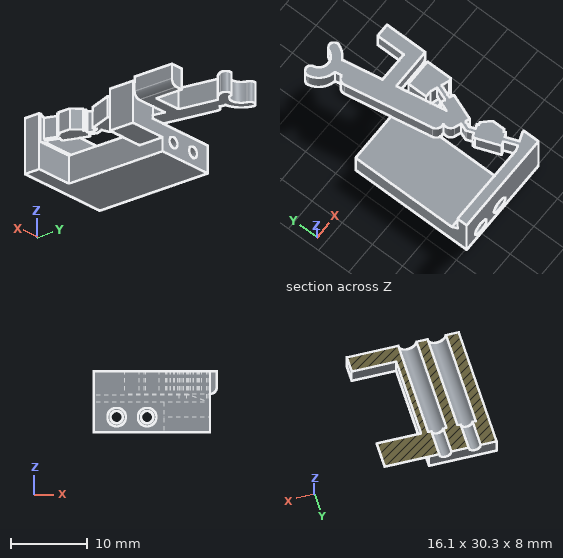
import cadquery as cq
import math

frame_width = 15.2
frame_depth = 18.42
total_height = 8.0
base_height = 4.0
layer_thickness = 3.0
layer_bottom = total_height - layer_thickness

plate_width = 9.2
rear_bar_front = 14.47
rear_bar_bottom = base_height / 2
wall_foot_depth = 2.45
wall_thickness = 1.52
wall_slope_top = 4.9
post_left = 11.15
post_front = 15.47

hole_positions_x = (3.0, 6.98)
hole_height = 2.0
bore_diameter = 2.43
hole_diameter = 1.58
bore_depth = rear_bar_front

knee_x, knee_y = 10.9, 8.43
link_tilt = 20.7
link_width = 2.0
link_start = 1.0
link_end = 5.0
flexure_width = 0.67
flexure_end = 7.0
elbow_reach = 2.3
elbow_end = 3.03
corner_radius = 1.0

bump_side_x = 13.8
bump_outline = [
    (12.3, 7.62),
    (12.62, 7.7),
    (bump_side_x, 6.5),
    (bump_side_x, 4.58),
    (13.45, 4.45),
    (12.15, 6.07),
]
trim_x = 10.45

arm_x, arm_y = 11.32, 11.62
arm_tilt = 10.0
arm_width = 3.0
arm_length = 15.0
neck_width = 2.0
fork_center_height = 18.87
fork_radius = 2.35
fork_width = 1.52
fork_left_angle = 181.5
fork_right_angle = 329.5

hook_right = 16.08
hook_top = 25.8
hook_bottom = 19.45
hook_width = 2.0
hook_root_x = 9.1
hook_edge_radius = 0.9

tilt_sin = math.sin(math.radians(link_tilt))
tilt_cos = math.cos(math.radians(link_tilt))


def block(x0, x1, y0, y1, z0, z1):
    """Axis-aligned block given by its limits."""
    return cq.Workplane("XY").box(x1 - x0, y1 - y0, z1 - z0, centered=False).translate((x0, y0, z0))


def layer_block(x0, x1, y0, y1):
    """Block filling the height of the top layer."""
    return block(x0, x1, y0, y1, layer_bottom, total_height)


def prism(points, bottom):
    """Polygon raised from the given height to the top of the part."""
    return cq.Workplane("XY").workplane(offset=bottom).polyline(points).close().extrude(total_height - bottom)


def place_link(shape):
    """Tilt a shape drawn along +Y from the origin and move it to the knee."""
    return shape.rotate((0, 0, 0), (0, 0, 1), -link_tilt).translate((knee_x, knee_y, 0))


def mirror_link(shape):
    """Mirror a shape across the XZ plane through the knee."""
    return shape.mirror("XZ", (0, knee_y, 0))


def flexure_seat_x(y):
    """X where the seat face, square to the rear flexure, reaches a given Y."""
    seat_x = knee_x + flexure_end * tilt_sin
    seat_y = knee_y + flexure_end * tilt_cos
    return seat_x - (y - seat_y) * tilt_cos / tilt_sin


def make_base():
    base = block(0, plate_width, 0, frame_depth, 0, base_height)
    base = base.union(block(0, frame_width, rear_bar_front, frame_depth, rear_bar_bottom, base_height))

    wall_profile = [
        (0, 0),
        (wall_foot_depth, 0),
        (wall_foot_depth, base_height),
        (wall_thickness, wall_slope_top),
        (wall_thickness, total_height),
        (0, total_height),
    ]
    base = base.union(cq.Workplane("YZ").polyline(wall_profile).close().extrude(frame_width))

    front_seat = [
        (flexure_seat_x(2 * knee_y - wall_thickness), 0),
        (frame_width, 0),
        (frame_width, wall_foot_depth),
        (flexure_seat_x(2 * knee_y - wall_foot_depth), wall_foot_depth),
        (flexure_seat_x(2 * knee_y - wall_thickness), wall_thickness),
    ]
    rear_seat = [
        (post_left, frame_depth),
        (frame_width, frame_depth),
        (frame_width, rear_bar_front),
        (flexure_seat_x(rear_bar_front), rear_bar_front),
        (flexure_seat_x(post_front), post_front),
        (post_left, post_front),
    ]
    base = base.union(prism(front_seat, 0)).union(prism(rear_seat, base_height))

    for x in hole_positions_x:
        mouth = cq.Workplane("XZ").center(x, hole_height)
        base = base.cut(mouth.circle(hole_diameter / 2).extrude(-frame_depth))
        base = base.cut(mouth.circle(bore_diameter / 2).extrude(-bore_depth))
    return base


def make_links():
    half_link = link_width / 2
    half_flexure = flexure_width / 2
    link = place_link(layer_block(-half_link, half_link, link_start, link_end))
    flexure_overlap = 0.15
    flexure = place_link(layer_block(-half_flexure, half_flexure, 0, flexure_end + flexure_overlap))

    elbow = layer_block(-elbow_reach, 0, link_start, elbow_end)
    elbow = place_link(elbow.edges("|Z and <X and <Y").fillet(corner_radius))

    knee = cq.Workplane("XY").workplane(offset=layer_bottom).center(knee_x, knee_y)
    knee = knee.circle(half_flexure).extrude(layer_thickness)

    trim = layer_block(trim_x - link_width, trim_x, 0, knee_y)
    front_link = mirror_link(link).cut(trim).union(prism(bump_outline, layer_bottom))

    return link.union(elbow).union(flexure).union(mirror_link(flexure)).union(knee).union(front_link)


def make_fork():
    """Curved fork around the origin with rounded tips."""
    def polar(radius, angle):
        return (radius * math.cos(math.radians(angle)), radius * math.sin(math.radians(angle)))

    outer = fork_radius + fork_width / 2
    inner = fork_radius - fork_width / 2
    middle_angle = (fork_left_angle + fork_right_angle) / 2
    outline = cq.Workplane("XY").workplane(offset=layer_bottom)
    outline = outline.moveTo(*polar(outer, fork_left_angle))
    outline = outline.threePointArc(polar(outer, middle_angle), polar(outer, fork_right_angle))
    outline = outline.lineTo(*polar(inner, fork_right_angle))
    outline = outline.threePointArc(polar(inner, middle_angle), polar(inner, fork_left_angle))
    fork = outline.close().extrude(layer_thickness)
    for angle in (fork_left_angle, fork_right_angle):
        tip = cq.Workplane("XY").workplane(offset=layer_bottom).center(*polar(fork_radius, angle))
        fork = fork.union(tip.circle(fork_width / 2).extrude(layer_thickness))
    return fork


def make_arm():
    arm = layer_block(-arm_width, 0, 0, arm_length).edges("|Z and <X").fillet(corner_radius)
    neck_top = fork_center_height - fork_radius
    arm = arm.union(layer_block(-neck_width, 0, arm_length / 2, neck_top))
    arm = arm.union(make_fork().translate((-neck_width / 2, fork_center_height, 0)))
    return arm.rotate((0, 0, 0), (0, 0, 1), arm_tilt).translate((arm_x, arm_y, 0))


def make_hook():
    hook = layer_block(hook_root_x, hook_right, hook_bottom, hook_bottom + hook_width)
    hook = hook.union(layer_block(hook_right - hook_width, hook_right, hook_bottom, hook_top))
    return hook.edges("|Y and >X and <Z").fillet(hook_edge_radius)


result = make_base().union(make_links()).union(make_arm()).union(make_hook())